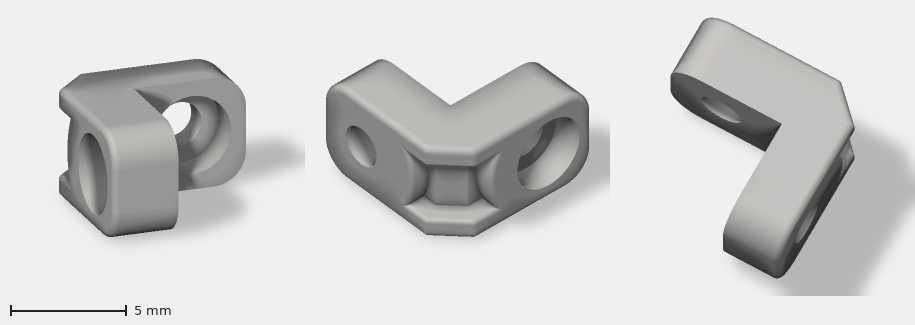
import cadquery as cq

LENGTH_X = 8.25
LENGTH_Y = 8.2
HEIGHT = 5.0
SCREW_LEG_THICKNESS = 3.0
PLAIN_LEG_THICKNESS = 2.75
CORNER_CHAMFER = 1.5
END_RADIUS = 1.5
OUTER_FILLET = 0.3

HOLE_DIAMETER = 2.0
COUNTERBORE_DIAMETER = 3.6
COUNTERBORE_DEPTH = 1.5
HOLE_END_DISTANCE = HEIGHT / 2
HOLE_X = LENGTH_X - HOLE_END_DISTANCE
HOLE_Y = LENGTH_Y - HOLE_END_DISTANCE

RECESS_HEIGHT = 3.0
RECESS_DEPTH = 1.0
RECESS_END_RADIUS = 3.3
RECESS_FILLET = 0.2

MID_Z = HEIGHT / 2
TOLERANCE = 0.001


def cylinder_along_x(y, start, length, radius):
    base = cq.Vector(start, y, MID_Z)
    return cq.Workplane(cq.Solid.makeCylinder(radius, length, base, cq.Vector(1, 0, 0)))


def cylinder_along_y(x, start, length, radius):
    base = cq.Vector(x, start, MID_Z)
    return cq.Workplane(cq.Solid.makeCylinder(radius, length, base, cq.Vector(0, 1, 0)))


def make_body():
    outline = [
        (CORNER_CHAMFER, 0),
        (LENGTH_X, 0),
        (LENGTH_X, SCREW_LEG_THICKNESS),
        (PLAIN_LEG_THICKNESS, SCREW_LEG_THICKNESS),
        (PLAIN_LEG_THICKNESS, LENGTH_Y),
        (0, LENGTH_Y),
        (0, CORNER_CHAMFER),
    ]
    body = cq.Workplane("XY").polyline(outline).close().extrude(HEIGHT)
    body = body.faces(">X").edges("|Y").fillet(END_RADIUS)
    body = body.faces(">Y").edges("|X").fillet(END_RADIUS)
    sharp_edge = cq.selectors.NearestToPointSelector((0, CORNER_CHAMFER, MID_Z))
    chamfer_face = cq.selectors.DirectionMinMaxSelector(cq.Vector(-1, -1, 0), True)
    outer_faces = body.faces("<X or <Y").add(body.faces(chamfer_face))
    rim = outer_faces.edges().edges(cq.selectors.InverseSelector(sharp_edge))
    return body.newObject(rim.vals()).fillet(OUTER_FILLET)


def make_recess():
    inner_corner = 2 * RECESS_DEPTH
    path = [
        (0, 0),
        (HOLE_X, 0),
        (HOLE_X, RECESS_DEPTH),
        (inner_corner, RECESS_DEPTH),
        (RECESS_DEPTH, inner_corner),
        (RECESS_DEPTH, HOLE_Y),
        (0, HOLE_Y),
    ]
    recess = cq.Workplane("XY", origin=(0, 0, MID_Z - RECESS_HEIGHT / 2)).polyline(path).close()
    recess = recess.extrude(RECESS_HEIGHT)
    recess = recess.cut(cylinder_along_y(HOLE_X, 0, RECESS_DEPTH, RECESS_END_RADIUS))
    return recess.cut(cylinder_along_x(HOLE_Y, 0, RECESS_DEPTH, RECESS_END_RADIUS))


def round_recess_mouth(body):
    half_height = RECESS_HEIGHT / 2 + TOLERANCE
    near_side = -TOLERANCE
    low_corner = (near_side, near_side, MID_Z - half_height)
    high_corner = (HOLE_X, HOLE_Y, MID_Z + half_height)
    region = cq.selectors.BoxSelector(low_corner, high_corner, boundingbox=True)

    def on_outer_surface(edge):
        middle = edge.positionAt(0.5)
        on_leg = min(middle.x, middle.y) < TOLERANCE
        return on_leg or middle.x + middle.y < CORNER_CHAMFER + OUTER_FILLET

    mouth = body.edges(region).filter(on_outer_surface)
    return mouth.fillet(RECESS_FILLET)


def cut_holes(body):
    hole = HOLE_DIAMETER / 2
    bore = COUNTERBORE_DIAMETER / 2
    body = body.cut(cylinder_along_y(HOLE_X, 0, SCREW_LEG_THICKNESS, hole))
    body = body.cut(cylinder_along_y(HOLE_X, 0, COUNTERBORE_DEPTH, bore))
    body = body.cut(cylinder_along_x(HOLE_Y, 0, PLAIN_LEG_THICKNESS, hole))
    bore_start = PLAIN_LEG_THICKNESS - COUNTERBORE_DEPTH
    return body.cut(cylinder_along_x(HOLE_Y, bore_start, COUNTERBORE_DEPTH, bore))


result = cut_holes(round_recess_mouth(make_body().cut(make_recess())))